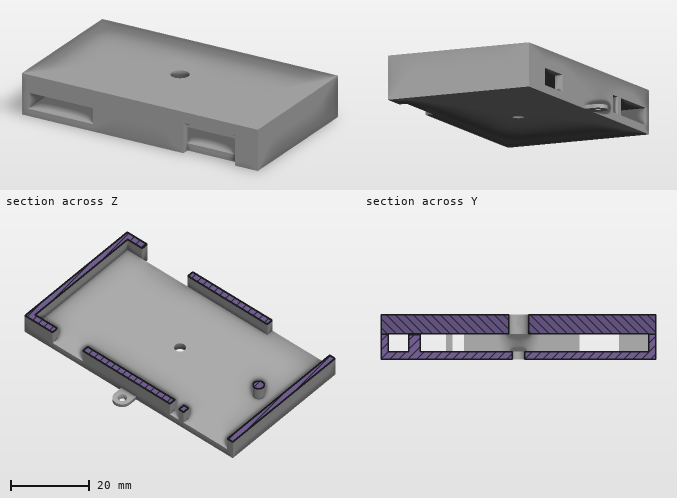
import cadquery as cq

LENGTH = 70.0
DEPTH = 40.0
HEIGHT = 11.5
BASE_HEIGHT = 6.5
WALL = 2.0
SIDE_WALL = 1.9
OVERLAP = 0.7

WINDOW_RIGHT = 21.15

NOTCH_LEFT = 47.95
NOTCH_RIGHT = 63.2
NOTCH_TOP = 8.4

REAR_OPENINGS = [(SIDE_WALL, 16.5), (18.2, WINDOW_RIGHT), (50.55, 60.6)]

POST_DIAMETER = 3.0
POST_X = 8.55
POST_TOP = 6.4

HEAD_DIAMETER = 5.0
SHANK_DIAMETER = 3.0

TAB_WIDTH = 5.0
TAB_LENGTH = 5.05
TAB_THICKNESS = 1.0
TAB_HOLE_DIAMETER = 1.5
TAB_SINK_DIAMETER = 2.5
TAB_RADIUS = TAB_WIDTH / 2
TAB_HOLE_Y = DEPTH + TAB_LENGTH - TAB_RADIUS

CENTER_X = LENGTH / 2
CENTER_Y = DEPTH / 2


def block(x_range, y_range, z_range):
    """Box that spans the given X, Y and Z ranges."""
    size = [end - start for start, end in (x_range, y_range, z_range)]
    corner = (x_range[0], y_range[0], z_range[0])
    return cq.Workplane("XY").box(*size, centered=False).translate(corner)


def cylinder(x, y, diameter, bottom, top):
    """Upright cylinder between two heights."""
    return cq.Workplane("XY", origin=(x, y, bottom)).circle(diameter / 2).extrude(top - bottom)


def make_notch():
    """Space for a connector, as deep as the front wall and open below."""
    return block((NOTCH_LEFT, NOTCH_RIGHT), (-OVERLAP, WALL), (-OVERLAP, NOTCH_TOP))


def make_tab():
    """Round-ended mounting tab with a hole that is countersunk from above."""
    tab = block((CENTER_X - TAB_RADIUS, CENTER_X + TAB_RADIUS), (DEPTH, TAB_HOLE_Y), (0, TAB_THICKNESS))
    tab = tab.union(cylinder(CENTER_X, TAB_HOLE_Y, TAB_WIDTH, 0, TAB_THICKNESS))
    sink = (
        cq.Workplane("XY", origin=(CENTER_X, TAB_HOLE_Y, 0))
        .circle(TAB_HOLE_DIAMETER / 2)
        .workplane(offset=TAB_THICKNESS)
        .circle(TAB_SINK_DIAMETER / 2)
        .loft()
    )
    return tab.cut(sink)


def make_base():
    """Open tray with front and rear openings, a post and the mounting tab."""
    base = block((0, LENGTH), (0, DEPTH), (0, BASE_HEIGHT))
    above_floor = (WALL, BASE_HEIGHT + OVERLAP)
    base = base.cut(block((SIDE_WALL, LENGTH - SIDE_WALL), (WALL, DEPTH - WALL), above_floor))
    base = base.cut(block((SIDE_WALL, WINDOW_RIGHT), (-OVERLAP, WALL), above_floor))
    for opening in REAR_OPENINGS:
        base = base.cut(block(opening, (DEPTH - WALL, DEPTH + OVERLAP), above_floor))
    base = base.cut(make_notch())
    base = base.cut(cylinder(CENTER_X, CENTER_Y, SHANK_DIAMETER, 0, WALL))
    base = base.union(cylinder(POST_X, CENTER_Y, POST_DIAMETER, WALL, POST_TOP))
    return base.union(make_tab())


def make_lid():
    """Thick cover plate with the screw head hole and the top of the notch."""
    lid = block((0, LENGTH), (0, DEPTH), (BASE_HEIGHT, HEIGHT))
    lid = lid.cut(cylinder(CENTER_X, CENTER_Y, HEAD_DIAMETER, BASE_HEIGHT, HEIGHT))
    return lid.cut(make_notch())


base = make_base()
lid = make_lid()
result = cq.Compound.makeCompound([base.val(), lid.val()])